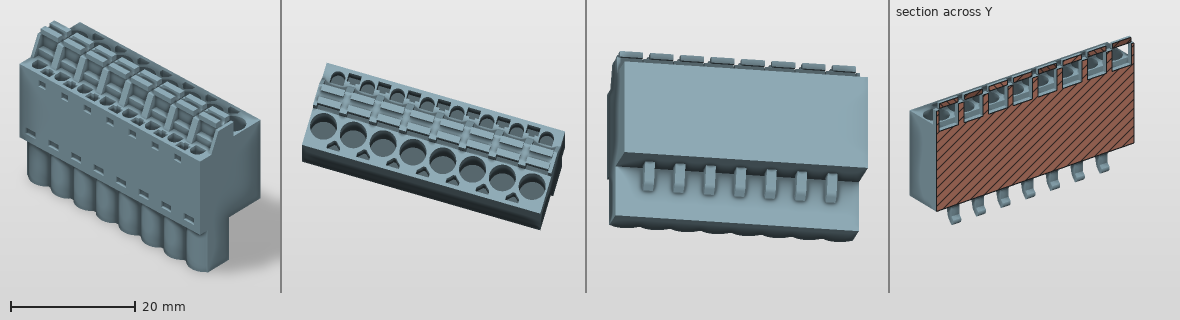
import cadquery as cq


length = 40.0
pole_count = 8
pitch = length / pole_count
pole_centres = [pitch * (i + 0.5) for i in range(pole_count)]
pole_borders = [pitch * (i + 1) for i in range(pole_count - 1)]

depth = 14.2
body_bottom = 8.3
front_top = 22.7
rear_top = 23.7
ridge_top = 26.5
ridge_rear = 7.9
ridge_front = 4.3
slope_foot = 2.65

plug_rear = 6.85
plug_web_front = 1.75
lobe_front = 0.75
lobe_width = 4.5

hook_width = 1.6
hook_root_front = 8.1
hook_root_rear = 10.3
hook_arm_front = 8.55
hook_notch_top = 7.05
hook_notch_bottom = 5.5
hook_back_middle = (9.9, 6.9)
hook_back_end = (9.5, 5.3)
hook_heel_middle = (9.4, 4.95)
hook_heel_end = (9.2, 4.7)
hook_tip = (8.55, 3.95)
hook_barb_middle = (8.1, 4.3)
hook_barb_top = (8.1, 4.95)

wire_hole_diameter = 4.35
wire_hole_y = 10.3
wire_hole_depth = 8.0
probe_width = 2.3
probe_rear = 2.95
probe_front = 0.8
small_hole_depth = 4.0
key_width = 2.15
key_front = 0.6
key_rear = 2.0
key_notch_width = 0.95
key_notch_rear = 2.3
point_hole_rear = 13.6
point_hole_shoulder = 12.95
point_hole_tip = 12.1
point_hole_tip_width = 0.4

window_height = 1.3
window_depth = 0.5
upper_window_width = 1.6
upper_window_bottom = 20.3
lower_window_width = 2.25
lower_window_bottom = 9.65

lever_width = 3.8
lever_top = 27.7
head_bottom = 26.75
head_rear = 7.55
head_front = 4.35
stem_rear = 7.0
stem_front = 4.95
foot_front = 3.85
foot_top = 24.05
slot_width = 1.05
slot_wall_depth = 0.7
slot_depth = 1.15


def side_extrusion(profile, centre_x, width):
    """Extrude a (Y, Z) profile along X, centred on centre_x."""
    plane = cq.Workplane("YZ", origin=(centre_x - width / 2, 0, 0))
    return profile(plane).close().extrude(width)


def body_profile(plane):
    return plane.polyline([
        (0, body_bottom),
        (depth, body_bottom),
        (depth, rear_top),
        (ridge_rear, rear_top),
        (ridge_rear, ridge_top),
        (ridge_front, ridge_top),
        (slope_foot, front_top),
        (0, front_top),
    ])


def hook_profile(plane):
    """Arm that leans forward as it goes down and ends in a rounded, forward-facing barb."""
    return (
        plane.moveTo(hook_root_front, body_bottom)
        .lineTo(hook_root_rear, body_bottom)
        .threePointArc(hook_back_middle, hook_back_end)
        .threePointArc(hook_heel_middle, hook_heel_end)
        .lineTo(*hook_tip)
        .threePointArc(hook_barb_middle, hook_barb_top)
        .lineTo(hook_arm_front, hook_notch_bottom)
        .lineTo(hook_arm_front, hook_notch_top)
    )


def make_plug():
    """Bar with a rounded lobe on its front for each pole."""
    bar = cq.Workplane("XY").box(
        length, plug_rear - plug_web_front, body_bottom, centered=False
    ).translate((0, plug_web_front, 0))
    for x in pole_centres:
        lobe = (
            cq.Workplane("XY")
            .moveTo(x - lobe_width / 2, plug_web_front)
            .threePointArc((x, lobe_front), (x + lobe_width / 2, plug_web_front))
            .close()
            .extrude(body_bottom)
        )
        bar = bar.union(lobe)
    return bar


def top_cut(outline, top, cut_depth):
    """Blind hole of the given closed outline, sunk from height top."""
    return outline(cq.Workplane("XY", origin=(0, 0, top))).extrude(-cut_depth)


def lever_pocket(x):
    return (
        cq.Workplane("XY")
        .box(lever_width, ridge_rear, ridge_top - front_top, centered=(True, False, False))
        .translate((x, 0, front_top))
    )


def wire_hole(x):
    return top_cut(
        lambda plane: plane.center(x, wire_hole_y).circle(wire_hole_diameter / 2),
        rear_top, wire_hole_depth,
    )


def probe_hole(x):
    """D-shaped hole with its flat side to the rear and a half round to the front."""
    radius = probe_width / 2
    round_start = probe_front + radius

    def outline(plane):
        return (
            plane.moveTo(x - radius, probe_rear)
            .lineTo(x - radius, round_start)
            .threePointArc((x, probe_front), (x + radius, round_start))
            .lineTo(x + radius, probe_rear)
            .close()
        )

    return top_cut(outline, front_top, small_hole_depth)


def key_hole(x):
    """Rectangular hole with a narrow notch in its rear side."""
    half = key_width / 2
    notch_half = key_notch_width / 2

    def outline(plane):
        return plane.polyline([
            (x - half, key_front),
            (x + half, key_front),
            (x + half, key_rear),
            (x + notch_half, key_rear),
            (x + notch_half, key_notch_rear),
            (x - notch_half, key_notch_rear),
            (x - notch_half, key_rear),
            (x - half, key_rear),
        ]).close()

    return top_cut(outline, front_top, small_hole_depth)


def pointed_hole(x):
    """Rectangular hole that tapers to a blunt point towards the front."""
    half = key_width / 2
    tip_half = point_hole_tip_width / 2

    def outline(plane):
        return plane.polyline([
            (x - half, point_hole_rear),
            (x - half, point_hole_shoulder),
            (x - tip_half, point_hole_tip),
            (x + tip_half, point_hole_tip),
            (x + half, point_hole_shoulder),
            (x + half, point_hole_rear),
        ]).close()

    return top_cut(outline, rear_top, small_hole_depth)


def window(x, width, bottom):
    return (
        cq.Workplane("XY")
        .box(width, window_depth, window_height, centered=(True, False, False))
        .translate((x, 0, bottom))
    )


def make_housing():
    body = side_extrusion(body_profile, length / 2, length).union(make_plug())
    for x in pole_centres:
        body = body.cut(lever_pocket(x))
        body = body.cut(wire_hole(x))
        body = body.cut(probe_hole(x))
        body = body.cut(window(x, lower_window_width, lower_window_bottom))
    for x in pole_borders:
        body = body.cut(key_hole(x))
        body = body.cut(pointed_hole(x))
        body = body.cut(window(x, upper_window_width, upper_window_bottom))
        body = body.union(side_extrusion(hook_profile, x, hook_width))
    return body


def lever_profile(plane):
    """Stepped foot, stem and overhanging head with a round-bottomed slot on top."""
    slot_centre = (head_rear + head_front) / 2
    slot_rear = slot_centre + slot_width / 2
    slot_front = slot_centre - slot_width / 2
    slot_bottom = lever_top - slot_depth
    slot_round_start = lever_top - slot_wall_depth
    return (
        plane.moveTo(foot_front, front_top)
        .lineTo(foot_front, foot_top)
        .lineTo(stem_front, foot_top)
        .lineTo(stem_front, head_bottom)
        .lineTo(head_front, head_bottom)
        .lineTo(head_front, lever_top)
        .lineTo(slot_front, lever_top)
        .lineTo(slot_front, slot_round_start)
        .threePointArc((slot_centre, slot_bottom), (slot_rear, slot_round_start))
        .lineTo(slot_rear, lever_top)
        .lineTo(head_rear, lever_top)
        .lineTo(head_rear, head_bottom)
        .lineTo(stem_rear, head_bottom)
        .lineTo(stem_rear, front_top)
    )


def make_lever(x):
    return side_extrusion(lever_profile, x, lever_width)


housing = make_housing()
levers = [make_lever(x) for x in pole_centres]

result = cq.Compound.makeCompound([
    *housing.solids().vals(),
    *[lever.val() for lever in levers],
])